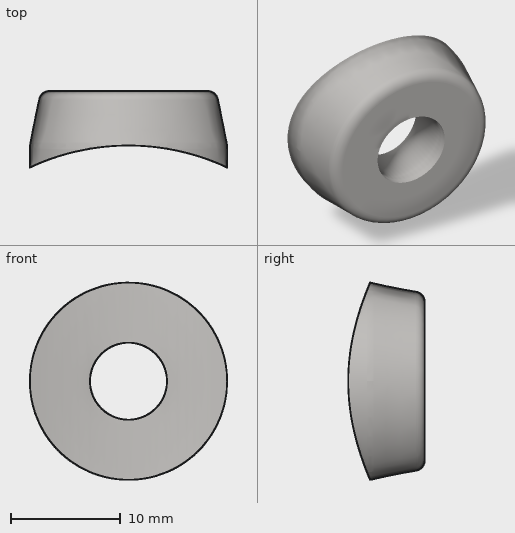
import cadquery as cq
import math

outer_diameter = 18.0
back_diameter = 16.0
bore_diameter = 7.0
total_depth = 7.0
saddle_radius = 21.2
shoulder_clearance = 0.004
shoulder_round = 3.0
back_round = 1.0

outer_radius = outer_diameter / 2
saddle_axis_y = -math.sqrt(saddle_radius**2 - outer_radius**2)
crown_y = saddle_axis_y + saddle_radius
shoulder_y = crown_y + shoulder_clearance


def tapered_body():
    """Straight rim followed by a cone that narrows to the flat back."""
    profile = (
        cq.Workplane("XY")
        .lineTo(outer_radius, 0)
        .lineTo(outer_radius, shoulder_y)
        .lineTo(back_diameter / 2, total_depth)
        .lineTo(0, total_depth)
        .close()
    )
    return profile.revolve(360, (0, 0, 0), (0, 1, 0))


def saddle_cutter():
    """Tube that hollows the front, longer than the washer is wide."""
    tube = cq.Workplane("XY").center(0, saddle_axis_y).circle(saddle_radius)
    return tube.extrude(outer_diameter, both=True)


def bore_cutter():
    return cq.Workplane("XZ").circle(bore_diameter / 2).extrude(-total_depth)


body = tapered_body().cut(saddle_cutter())

shoulder_edge = cq.selectors.NearestToPointSelector((0, shoulder_y, 0))
body = body.edges("%CIRCLE").edges(shoulder_edge).fillet(shoulder_round)
body = body.faces(">Y").edges().fillet(back_round)

result = body.cut(bore_cutter())